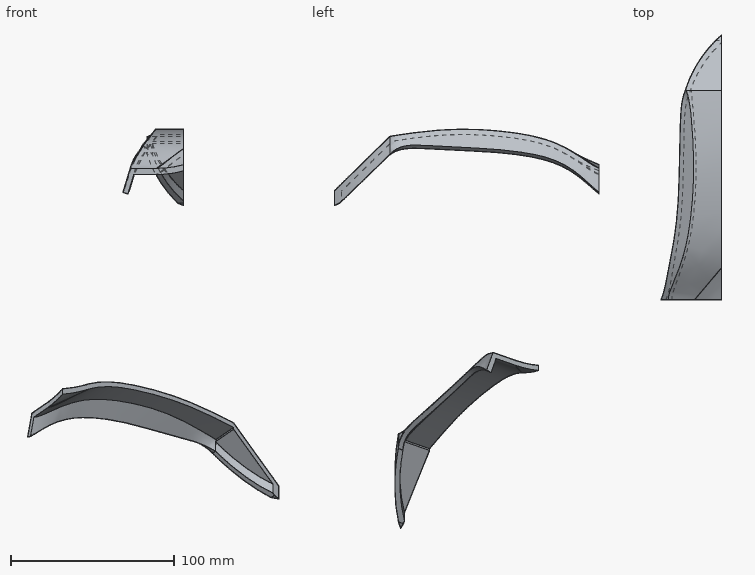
import cadquery as cq
import math

length = 162.3
wall = 3.2

stations = [
    (0.0, -32.8, 22.9, -37.3, 8.1),
    (19.8, -26.0, 35.0, -32.5, 24.2),
    (32.8, -22.0, 40.5, -30.0, 29.7),
    (55.2, -18.5, 45.1, -27.1, 33.8),
    (83.5, -17.2, 46.9, -26.0, 35.7),
    (110.4, -18.5, 45.1, -25.3, 37.2),
    (120.1, -19.6, 43.8, -24.5, 36.4),
    (128.2, -21.7, 42.5, -22.4, 31.3),
]

tail_start, _, tail_top, tail_edge, tail_foot = stations[-1]
tail_end_top = 9.1
tail_foot_bend = (158.9, 1.6)
tail_mid_x = -12.3
tail_mid_y = 148.7

corner_width = 16.7
corner_length = stations[1][0]
corner_rise = 2.3


def plate_drop(index):
    """Vertical thickness of the top plate, from the ridge slope at a station."""
    before = stations[max(index - 1, 0)]
    after = stations[min(index + 1, len(stations) - 1)]
    slope = (after[2] - before[2]) / (after[0] - before[0])
    return wall * math.hypot(1, slope)


def l_section(index):
    """Closed L-shaped wire across the body at one station."""
    y, ridge_x, ridge_z, foot_x, foot_z = stations[index]
    flange = math.hypot(ridge_x - foot_x, ridge_z - foot_z)
    out = (ridge_x - foot_x) / flange
    down = (ridge_z - foot_z) / flange
    inner_foot = (foot_x + wall * down, foot_z - wall * out)
    under_z = ridge_z - plate_drop(index)
    inner_x = inner_foot[0] + (under_z - inner_foot[1]) * out / down
    points = [(0, ridge_z), (ridge_x, ridge_z), (foot_x, foot_z),
              inner_foot, (inner_x, under_z), (0, under_z)]
    return cq.Wire.makePolygon([cq.Vector(x, y, z) for x, z in points], close=True)


def curved_body():
    return cq.Workplane(cq.Solid.makeLoft([l_section(i) for i in range(len(stations))]))


def tail_outline(inset):
    """Vertical prism behind the rounded tail edge, inset by a wall thickness."""
    diagonal = inset / math.sqrt(2)
    return (
        cq.Workplane("XY")
        .moveTo(0, tail_start)
        .lineTo(tail_edge + inset, tail_start)
        .threePointArc((tail_mid_x + diagonal, tail_mid_y - diagonal), (0, length - 2 * diagonal))
        .close()
        .extrude(tail_top)
    )


def tail_slab(bottom_points):
    """Sloping slab under the tail's top face, closed by (y, z) points from back to front."""
    return (
        cq.Workplane("YZ")
        .polyline([(tail_start, tail_top), (length, tail_end_top)] + bottom_points)
        .close()
        .extrude(tail_edge)
    )


def tail():
    drop = wall * math.hypot(1, (tail_top - tail_end_top) / (length - tail_start))
    underside = [(length, tail_end_top - drop), (tail_start, tail_top - drop)]
    plate = tail_slab(underside).intersect(tail_outline(0))
    rim = tail_outline(0).cut(tail_outline(wall))
    foot = [(length, 0), tail_foot_bend, (tail_start, tail_foot)]
    return plate.union(rim.intersect(tail_slab(foot)))


def corner_prism():
    return (
        cq.Workplane("XY")
        .polyline([(-corner_width, 0), (0, 0), (0, corner_length)])
        .close()
        .extrude(tail_top)
    )


def raised_corner():
    """Curled band swept along the diagonal crease, trimmed to the corner triangle."""
    ridge_z = stations[0][2]
    drop = plate_drop(0)
    crease = cq.Vector(corner_width, corner_length, stations[1][2] - ridge_z)
    band = (
        cq.Workplane("XZ")
        .moveTo(-corner_width, ridge_z)
        .threePointArc((-corner_width / 2, ridge_z + corner_rise / 4), (0, ridge_z + corner_rise))
        .lineTo(0, ridge_z + corner_rise - drop)
        .threePointArc((-corner_width / 2, ridge_z + corner_rise / 4 - drop),
                       (-corner_width, ridge_z - drop))
        .close()
    )
    face = cq.Face.makeFromWires(band.val())
    sweep = cq.Workplane(cq.Solid.extrudeLinear(face, crease))
    return sweep.intersect(corner_prism())


result = curved_body().cut(corner_prism()).union(raised_corner()).union(tail())